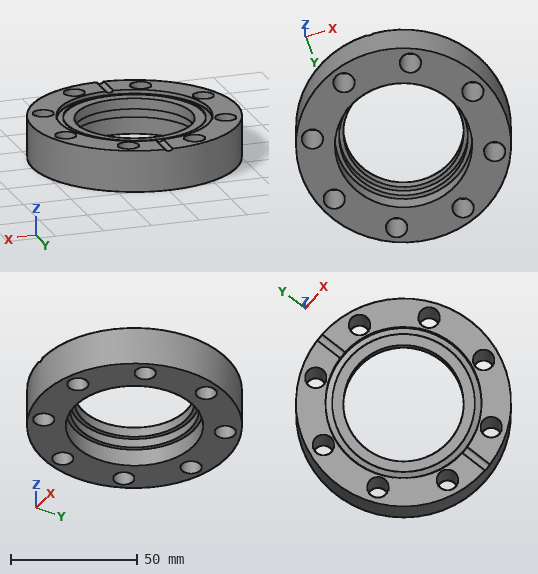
import cadquery as cq

flange_diameter = 85.2
thickness = 17.3

bore_diameter = 47.6
middle_bore_diameter = 51.05
lower_bore_diameter = 54.4
middle_bore_top = 11.7
lower_bore_top = 7.7

recess_diameter = 61.9
knife_foot_diameter = 61.6
knife_tip_diameter = 56.5
sealing_face_depth = 1.2
knife_tip_depth = 0.7
knife_foot_depth = 1.6

bolt_count = 8
bolt_hole_diameter = 8.4
bolt_circle_diameter = 72.35
first_bolt_angle = 180 / bolt_count

groove_width = 3.15
groove_depth = 0.81
groove_radius = (groove_width**2 / 4 + groove_depth**2) / (2 * groove_depth)


def make_ring():
    """Revolve the half section, with radius along X and height along Z."""
    sealing_face_z = thickness - sealing_face_depth
    section = [
        (lower_bore_diameter / 2, 0),
        (flange_diameter / 2, 0),
        (flange_diameter / 2, thickness),
        (recess_diameter / 2, thickness),
        (recess_diameter / 2, thickness - knife_foot_depth),
        (knife_foot_diameter / 2, thickness - knife_foot_depth),
        (knife_tip_diameter / 2, thickness - knife_tip_depth),
        (knife_tip_diameter / 2, sealing_face_z),
        (bore_diameter / 2, sealing_face_z),
        (bore_diameter / 2, middle_bore_top),
        (middle_bore_diameter / 2, middle_bore_top),
        (middle_bore_diameter / 2, lower_bore_top),
        (lower_bore_diameter / 2, lower_bore_top),
    ]
    return cq.Workplane("XZ").polyline(section).close().revolve(360, (0, 0), (0, 1))


def make_bolt_holes():
    return (
        cq.Workplane("XY")
        .polarArray(bolt_circle_diameter / 2, first_bolt_angle, 360, bolt_count)
        .circle(bolt_hole_diameter / 2)
        .extrude(thickness)
    )


def make_leak_grooves():
    """Cylinder along Y, kept only outside the sealing recess."""
    cylinder = (
        cq.Workplane("XZ")
        .center(0, thickness - groove_depth + groove_radius)
        .circle(groove_radius)
        .extrude(flange_diameter / 2, both=True)
    )
    recess_core = cq.Workplane("XY").circle(recess_diameter / 2).extrude(2 * thickness)
    return cylinder.cut(recess_core)


result = make_ring().cut(make_bolt_holes()).cut(make_leak_grooves())